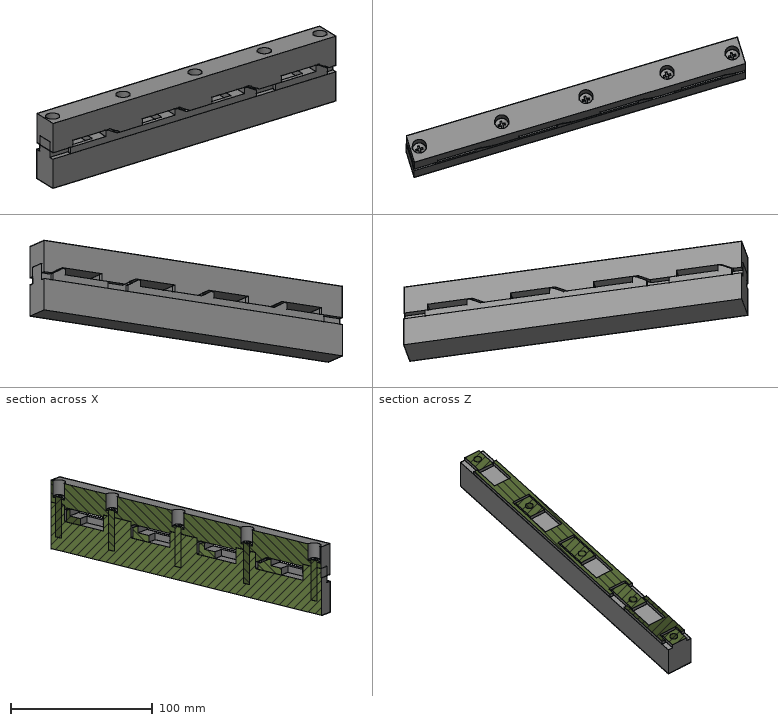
import cadquery as cq
import math

width = 20.0
length = 245.0
height = 51.0
half_length = length / 2
end_setback = 0.3

base_top = 23.0
slider_height = 5.0
parting_z = base_top + slider_height
post_height_above_parting = 7.0
post_top = parting_z + post_height_above_parting
recess_height = 5.0
tooth_height = 4.5

ramp_angle = math.radians(30)
recess_pitch = 60.1
recess_count = 4
first_recess_stop = 75.2
recess_flat_length = 32.3
tooth_crest_length = 2.1
tooth_pitch = 60.0

short_slider_ends = (70.0, 115.1)
long_slider_ends = (-107.0, 53.7)
short_slider_teeth = [105.2]
long_slider_teeth = [43.3 - i * tooth_pitch for i in range(3)]

post_width = 12.6
post_spans = [
    (-half_length, -105.5),
    (-63.0, -45.0),
    (-10.0, 15.0),
    (50.0, 75.0),
    (110.0, half_length),
]

slot_width = 14.0
slot_setback = 9.6
slot_clearance = 1.5

screw_positions = [-115.6, -54.7, 7.5, 67.5, 115.6]
head_diameter = 10.0
head_seat = 39.0
head_rim_height = 0.5
dome_height = 1.9
shank_diameter = 5.0
screw_tip = 10.0
cross_length = 5.2
cross_width = 1.2
cross_depth = 1.5
head_top = head_seat + head_rim_height + dome_height


def block(x_size, y_low, y_high, z_low, z_high):
    """Box centred on X between the given Y and Z limits."""
    return (
        cq.Workplane("XY")
        .box(x_size, y_high - y_low, z_high - z_low, centered=(True, False, False))
        .translate((0, y_low, z_low))
    )


def ramp_prism(stop_y, flat_length, rise):
    """Full-width prism on the parting plane: square end at stop_y, ramp at its +Y end."""
    crest_y = stop_y + flat_length
    foot_y = crest_y + rise / math.tan(ramp_angle)
    profile = [
        (stop_y, parting_z),
        (foot_y, parting_z),
        (crest_y, parting_z + rise),
        (stop_y, parting_z + rise),
    ]
    return cq.Workplane("YZ").polyline(profile).close().extrude(width / 2, both=True)


def cylinder(diameter, y, z_low, z_high):
    """Upright cylinder on the X centreline."""
    return (
        cq.Workplane("XY", origin=(0, y, z_low))
        .circle(diameter / 2)
        .extrude(z_high - z_low)
    )


def post(y_low, y_high):
    """Base post; above the parting plane it stays within the length of the clamp bar."""
    upper_y_low = max(y_low, -half_length + end_setback)
    lower = block(post_width, y_low, y_high, base_top, parting_z)
    upper = block(post_width, upper_y_low, y_high, parting_z, post_top)
    return lower.union(upper)


def make_base():
    """Lower bar with five posts and blind screw holes."""
    base = block(width, -half_length, half_length, 0, base_top)
    for y_low, y_high in post_spans:
        base = base.union(post(y_low, y_high))
    for y in screw_positions:
        base = base.cut(cylinder(shank_diameter, y, screw_tip, post_top))
    return base


def make_clamp_bar():
    """Upper bar with ramped recesses, post pockets and counterbored screw holes."""
    bar = block(width, -half_length + end_setback, half_length, parting_z, height)
    for i in range(recess_count):
        stop_y = first_recess_stop - i * recess_pitch
        bar = bar.cut(ramp_prism(stop_y, recess_flat_length, recess_height))
    for y_low, y_high in post_spans:
        bar = bar.cut(block(post_width, y_low, y_high, parting_z, post_top))
    for y in screw_positions:
        bar = bar.cut(cylinder(shank_diameter, y, parting_z, head_seat))
        bar = bar.cut(cylinder(head_diameter, y, head_seat, height))
    return bar


def make_slider(ends, tooth_backs, slots):
    """Toothed wedge strip with slots that straddle the posts."""
    slider = block(width, *ends, base_top, parting_z)
    for back_y in tooth_backs:
        slider = slider.union(ramp_prism(back_y, tooth_crest_length, tooth_height))
    for y_low, y_high in slots:
        slider = slider.cut(block(slot_width, y_low, y_high, base_top, height))
    return slider


def make_short_slider():
    """One-tooth slider, open at both ends around the two posts nearest +Y."""
    end_post_low = post_spans[4][0]
    slots = [
        (short_slider_ends[0], short_slider_teeth[0] - slot_setback),
        (end_post_low - slot_clearance, short_slider_ends[1]),
    ]
    return make_slider(short_slider_ends, short_slider_teeth, slots)


def make_long_slider():
    """Three-tooth slider with two closed slots and an open slot at each end."""
    low_end, high_end = long_slider_ends
    slot_starts = [back_y - slot_setback for back_y in long_slider_teeth]
    slots = [
        (post_spans[3][0] - slot_clearance, high_end),
        (post_spans[2][0] - slot_clearance, slot_starts[0]),
        (post_spans[1][0] - slot_clearance, slot_starts[1]),
        (low_end, slot_starts[2]),
    ]
    return make_slider(long_slider_ends, long_slider_teeth, slots)


def make_screw(y):
    """Domed cross-recess screw, built on the X centreline."""
    head_radius = head_diameter / 2
    shank_radius = shank_diameter / 2
    rim_z = head_seat + head_rim_height
    dome_radius = (head_radius**2 + dome_height**2) / (2 * dome_height)
    dome_centre_z = head_top - dome_radius
    half_angle = math.asin(head_radius / dome_radius) / 2
    dome_middle = (
        dome_radius * math.sin(half_angle),
        dome_centre_z + dome_radius * math.cos(half_angle),
    )
    screw = (
        cq.Workplane("XZ")
        .moveTo(0, screw_tip)
        .lineTo(shank_radius, screw_tip)
        .lineTo(shank_radius, head_seat)
        .lineTo(head_radius, head_seat)
        .lineTo(head_radius, rim_z)
        .threePointArc(dome_middle, (0, head_top))
        .close()
        .revolve(360, (0, 0, 0), (0, 1, 0))
    )
    cross_floor = head_top - cross_depth
    for x_size, y_size in [(cross_length, cross_width), (cross_width, cross_length)]:
        screw = screw.cut(block(x_size, -y_size / 2, y_size / 2, cross_floor, head_top))
    return screw.translate((0, y, 0))


base = make_base()
clamp_bar = make_clamp_bar()
short_slider = make_short_slider()
long_slider = make_long_slider()
screws = [make_screw(y) for y in screw_positions]

result = cq.Compound.makeCompound([
    base.val(),
    clamp_bar.val(),
    short_slider.val(),
    long_slider.val(),
    *[screw.val() for screw in screws],
])